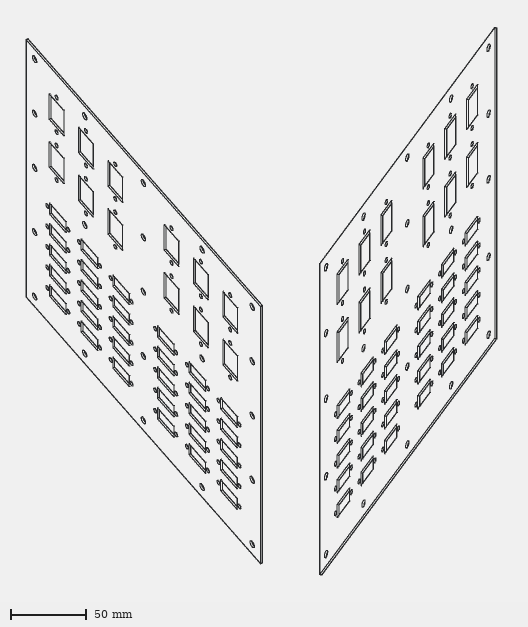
import cadquery as cq

PANEL_WIDTH = 280.0
PANEL_HEIGHT = 260.0
PANEL_THICKNESS = 1.5

MOUNT_DIAMETER = 5.0
MOUNT_EDGE_MARGIN = 10.0
MOUNT_INNER_X = 70.0
MOUNT_UPPER_Z = 65.0
MOUNT_MIDDLE_Z = 10.0
MOUNT_LOWER_Z = -55.0

TALL_WIDTH = 17.5
TALL_HEIGHT = 25.5
TALL_SCREW_SPACING = 35.0
TALL_FIRST_X = 33.5
TALL_PITCH_X = 35.0
TALL_TOP_Z = 89.0
TALL_PITCH_Z = 48.5
TALL_ROWS = 2

WIDE_WIDTH = 19.5
WIDE_HEIGHT = 11.0
WIDE_SCREW_SPACING = 25.0
WIDE_FIRST_X = 26.5
WIDE_PITCH_X = 37.8
WIDE_TOP_Z = -13.7
WIDE_PITCH_Z = 20.7
WIDE_ROWS = 5

SCREW_DIAMETER = 3.5
COLUMNS_PER_SIDE = 3


def mirrored_grid(first_x, pitch_x, top_z, pitch_z, rows):
    """Centres of two window blocks, mirrored about the vertical centre line."""
    return [
        (side * (first_x + column * pitch_x), top_z - row * pitch_z)
        for side in (-1, 1)
        for column in range(COLUMNS_PER_SIDE)
        for row in range(rows)
    ]


def offset_pairs(centres, offset_x, offset_z):
    """Two points per centre, at plus and minus the given offset."""
    return [
        (x + sign * offset_x, z + sign * offset_z)
        for x, z in centres
        for sign in (-1, 1)
    ]


def mounting_points():
    """Rows of five holes, with three-hole rows between them."""
    edge_x = PANEL_WIDTH / 2 - MOUNT_EDGE_MARGIN
    edge_z = PANEL_HEIGHT / 2 - MOUNT_EDGE_MARGIN
    three_columns = (-edge_x, 0, edge_x)
    five_columns = three_columns + (-MOUNT_INNER_X, MOUNT_INNER_X)
    five_hole_rows = (edge_z, MOUNT_MIDDLE_Z, -edge_z)
    three_hole_rows = (MOUNT_UPPER_Z, MOUNT_LOWER_Z)
    points = [(x, z) for z in five_hole_rows for x in five_columns]
    points += [(x, z) for z in three_hole_rows for x in three_columns]
    return points


def front_points(panel, points):
    """Place (x, z) points on the front face of the panel."""
    return panel.faces("<Y").workplane(origin=(0, 0, 0)).pushPoints(points)


def cut_windows(panel, centres, width, height):
    """Cut a rectangular window through the panel at each centre."""
    return front_points(panel, centres).rect(width, height).cutThruAll()


def drill_holes(panel, centres, diameter):
    """Drill a plain hole through the panel at each centre."""
    return front_points(panel, centres).hole(diameter)


tall_centres = mirrored_grid(TALL_FIRST_X, TALL_PITCH_X, TALL_TOP_Z, TALL_PITCH_Z, TALL_ROWS)
wide_centres = mirrored_grid(WIDE_FIRST_X, WIDE_PITCH_X, WIDE_TOP_Z, WIDE_PITCH_Z, WIDE_ROWS)
screw_points = offset_pairs(tall_centres, 0, TALL_SCREW_SPACING / 2)
screw_points += offset_pairs(wide_centres, WIDE_SCREW_SPACING / 2, 0)

panel = cq.Workplane("XY").box(PANEL_WIDTH, PANEL_THICKNESS, PANEL_HEIGHT)
panel = cut_windows(panel, tall_centres, TALL_WIDTH, TALL_HEIGHT)
panel = cut_windows(panel, wide_centres, WIDE_WIDTH, WIDE_HEIGHT)
panel = drill_holes(panel, mounting_points(), MOUNT_DIAMETER)
result = drill_holes(panel, screw_points, SCREW_DIAMETER)